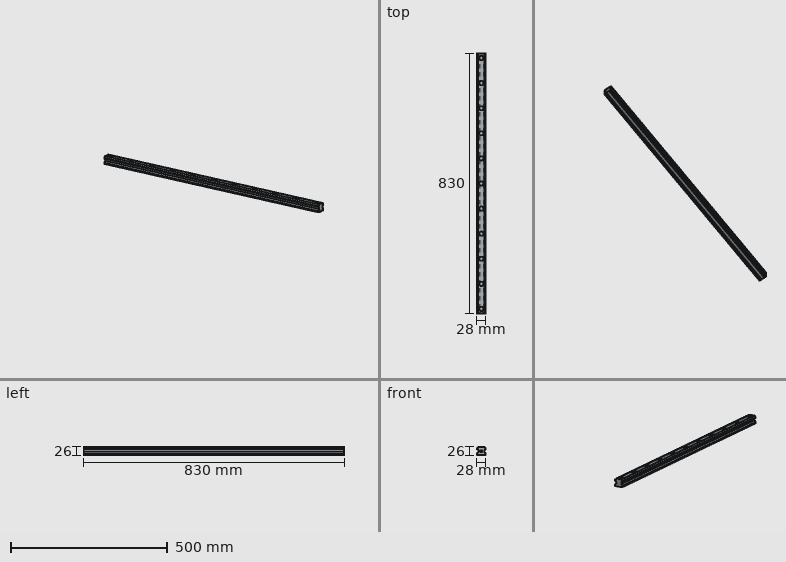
import cadquery as cq

rail_width = 28.0
rail_height = 26.0
rail_length = 830.0
half_width = rail_width / 2
front_end = -rail_length / 2

top_flat_half_width = 9.5
corner_width = 1.3
corner_height = 1.0
groove_height = 3.6
groove_sag = 0.6
lower_groove_bottom = 14.2

neck_half_width = top_flat_half_width
neck_bottom = 10.2
base_side_top = 5.3
base_top_chamfer = 0.4
base_bottom_chamfer = 1.6

notch_offset = 6.25
notch_width = 1.5
notch_depth = 1.0

cap_diameter = 14.0
cap_recess = 0.2
hole_pitch = 80.0
hole_count = 11

end_hole_diameter = 7.0
end_hole_height = 12.5
end_hole_depth = 12.0


def make_half_rail():
    """The +X half of the rail, extruded along Y and centred on the origin."""
    groove_edge_x = half_width - corner_width
    upper_groove_bottom = rail_height - groove_height
    lower_groove_top = lower_groove_bottom + groove_height
    return (
        cq.Workplane("XZ")
        .lineTo(notch_offset - notch_width / 2, 0)
        .lineTo(notch_offset, notch_depth)
        .lineTo(notch_offset + notch_width / 2, 0)
        .lineTo(half_width - base_bottom_chamfer, 0)
        .lineTo(half_width, base_bottom_chamfer)
        .lineTo(half_width, base_side_top - base_top_chamfer)
        .lineTo(half_width - base_top_chamfer, base_side_top + base_top_chamfer)
        .lineTo(neck_half_width, neck_bottom)
        .lineTo(neck_half_width, lower_groove_bottom)
        .sagittaArc((groove_edge_x, lower_groove_top), groove_sag)
        .lineTo(half_width, lower_groove_top + corner_height)
        .lineTo(half_width, upper_groove_bottom - corner_height)
        .lineTo(groove_edge_x, upper_groove_bottom)
        .sagittaArc((top_flat_half_width, rail_height), groove_sag)
        .lineTo(0, rail_height)
        .close()
        .extrude(rail_length / 2, both=True)
    )


def make_rail():
    """Both halves of the symmetric section joined into one bar."""
    half = make_half_rail()
    return half.union(half.mirror("YZ")).clean()


def make_cap_recesses():
    """Shallow round recesses, evenly pitched about the middle of the rail."""
    return (
        cq.Workplane("XY", origin=(0, 0, rail_height))
        .rarray(1, hole_pitch, 1, hole_count)
        .circle(cap_diameter / 2)
        .extrude(-cap_recess)
    )


def make_end_hole():
    """Blind hole along Y from the front end face."""
    return (
        cq.Workplane("XZ", origin=(0, front_end, end_hole_height))
        .circle(end_hole_diameter / 2)
        .extrude(-end_hole_depth)
    )


result = make_rail().cut(make_cap_recesses()).cut(make_end_hole())